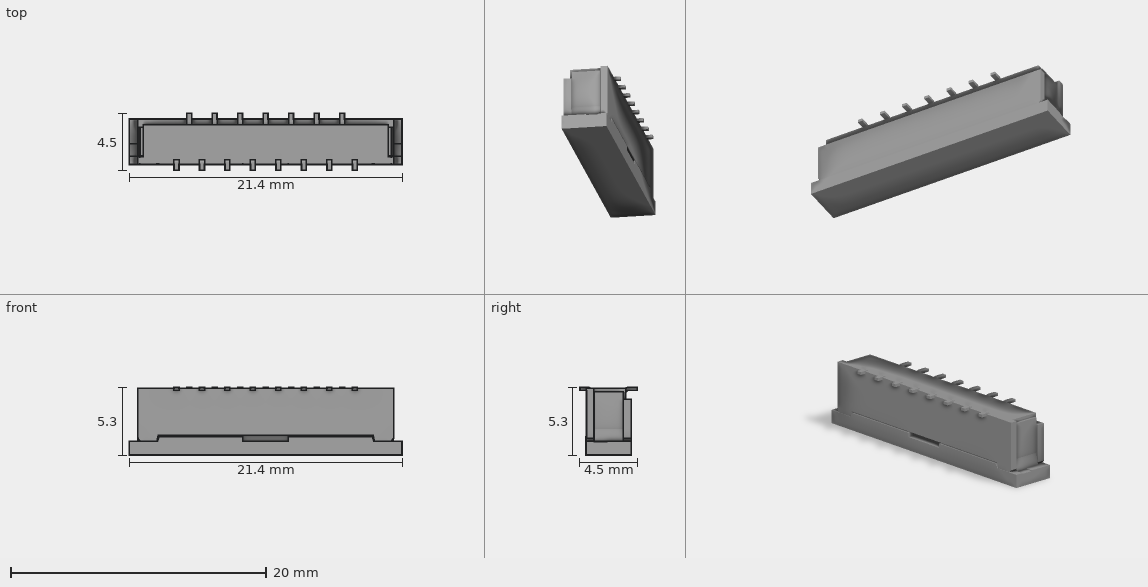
import cadquery as cq
import math

LENGTH = 21.4
WIDTH = 3.57
HEIGHT = 5.3

BASE_HEIGHT = 1.1
END_GROOVE_DEPTH = 0.06
END_GROOVE_FRONT = -1.13
END_GROOVE_BACK = -0.15

BODY_LENGTH = 20.1
BODY_TOP = 5.25
BODY_FRONT = -1.75
BODY_BACK = 1.78
SHOULDER_HEIGHT = 4.39
UPPER_BACK = 1.33
FOOT_CHAMFER_WIDTH = 0.2
FOOT_CHAMFER_HEIGHT = 0.21

POCKET_DEPTH = 0.45
POCKET_FRONT = -1.18
LATCH_FRONT = -1.11
LATCH_BACK = 1.13
LATCH_TOP = 4.96
LATCH_SETBACK = 0.21
LATCH_SLOPE_TOP = 2.03

RELIEF_LENGTH = 16.85
RELIEF_TOP = 1.55
RELIEF_DEPTH = 0.43
RELIEF_FLARE = 0.1
RAIL_TOP = 1.43
RAIL_CLEARANCE = 0.05
RAIL_GAP = 3.55

FRONT_PIN_COUNT = 8
BACK_PIN_COUNT = FRONT_PIN_COUNT - 1
FRONT_ROW_SPAN = 14.0
PIN_PITCH = FRONT_ROW_SPAN / (FRONT_PIN_COUNT - 1)
PIN_WIDTH = 0.4
PIN_THICKNESS = 0.24
PIN_REACH = 2.25
PIN_LEG_LENGTH = 0.43
FRONT_BEND_CENTRE = 1.63
FRONT_BEND_RADIUS = 0.1
BACK_BEND_CENTRE = 1.56
BACK_BEND_RADIUS = BACK_BEND_CENTRE - UPPER_BACK


def block(x_range, y_range, z_range):
    """Box spanning the given (low, high) ranges."""
    (x0, x1), (y0, y1), (z0, z1) = x_range, y_range, z_range
    return cq.Workplane("XY").box(x1 - x0, y1 - y0, z1 - z0, centered=False).translate((x0, y0, z0))


def both_ends(shape):
    """The shape together with its copy at the opposite X end."""
    return shape.union(shape.mirror("YZ"))


def front_prism(points, y_front, y_back):
    """Extrude an XZ outline from y_front to y_back."""
    outline = cq.Workplane("XZ", origin=(0, y_front, 0)).polyline(points).close()
    return outline.extrude(y_front - y_back)


def make_base():
    half = LENGTH / 2
    base = block((-half, half), (-WIDTH / 2, WIDTH / 2), (0, BASE_HEIGHT))
    groove = block(
        (-half, -BODY_LENGTH / 2),
        (END_GROOVE_FRONT, END_GROOVE_BACK),
        (BASE_HEIGHT - END_GROOVE_DEPTH, BASE_HEIGHT),
    )
    return base.cut(both_ends(groove))


def make_housing():
    half = BODY_LENGTH / 2
    foot_half = half - FOOT_CHAMFER_WIDTH
    chamfer_top = BASE_HEIGHT + FOOT_CHAMFER_HEIGHT
    end_outline = [
        (-foot_half, BASE_HEIGHT),
        (foot_half, BASE_HEIGHT),
        (half, chamfer_top),
        (half, BODY_TOP),
        (-half, BODY_TOP),
        (-half, chamfer_top),
    ]
    housing = front_prism(end_outline, BODY_FRONT, BODY_BACK)
    shoulder = block((-half, half), (UPPER_BACK, BODY_BACK), (SHOULDER_HEIGHT, BODY_TOP))
    return housing.cut(shoulder).cut(both_ends(make_end_pocket()))


def make_end_pocket():
    """Pocket at the -X end: wide above the shoulder, latch width below it."""
    x_range = (-BODY_LENGTH / 2, -BODY_LENGTH / 2 + POCKET_DEPTH)
    upper = block(x_range, (POCKET_FRONT, UPPER_BACK), (SHOULDER_HEIGHT, BODY_TOP))
    lower = block(x_range, (POCKET_FRONT, LATCH_BACK), (BASE_HEIGHT, SHOULDER_HEIGHT))
    return upper.union(lower)


def make_latch():
    """Block in the -X pocket, its lower part sloping out toward the base."""
    outer = -BODY_LENGTH / 2
    face = outer + LATCH_SETBACK
    inner = outer + POCKET_DEPTH
    foot = BASE_HEIGHT - END_GROOVE_DEPTH
    outline = [(inner, foot), (outer, foot), (face, LATCH_SLOPE_TOP), (face, LATCH_TOP), (inner, LATCH_TOP)]
    return front_prism(outline, LATCH_FRONT, LATCH_BACK)


def make_front_relief():
    half = RELIEF_LENGTH / 2
    flared = half + RELIEF_FLARE
    outline = [(-flared, BASE_HEIGHT), (flared, BASE_HEIGHT), (half, RELIEF_TOP), (-half, RELIEF_TOP)]
    return front_prism(outline, BODY_FRONT, BODY_FRONT + RELIEF_DEPTH)


def make_rail():
    """Rail on the -X half of the base, closing the relief up to a thin slit."""
    outer = -RELIEF_LENGTH / 2 + RAIL_CLEARANCE
    inner = -RAIL_GAP / 2
    outline = [
        (outer - RELIEF_FLARE, BASE_HEIGHT),
        (inner, BASE_HEIGHT),
        (inner, RAIL_TOP),
        (outer, RAIL_TOP),
    ]
    return front_prism(outline, -WIDTH / 2, BODY_FRONT + RELIEF_DEPTH)


def make_pin(bend_centre, inner_radius):
    """Terminal rising out of the housing and bending over toward +Y, centred on X = 0."""
    outer_radius = inner_radius + PIN_THICKNESS
    centre_z = HEIGHT - outer_radius
    leg_bottom = centre_z - PIN_LEG_LENGTH
    diagonal = math.sqrt(0.5)

    def on_bend(radius):
        return (bend_centre - radius * diagonal, centre_z + radius * diagonal)

    outline = (
        cq.Workplane("YZ", origin=(-PIN_WIDTH / 2, 0, 0))
        .moveTo(PIN_REACH, HEIGHT)
        .lineTo(bend_centre, HEIGHT)
        .threePointArc(on_bend(outer_radius), (bend_centre - outer_radius, centre_z))
        .lineTo(bend_centre - outer_radius, leg_bottom)
        .lineTo(bend_centre - inner_radius, leg_bottom)
        .lineTo(bend_centre - inner_radius, centre_z)
        .threePointArc(on_bend(inner_radius), (bend_centre, HEIGHT - PIN_THICKNESS))
        .lineTo(PIN_REACH, HEIGHT - PIN_THICKNESS)
        .close()
    )
    return outline.extrude(PIN_WIDTH)


def add_pin_row(part, pin, count):
    """Join a row of pins, evenly spaced about the middle."""
    for index in range(count):
        x = (index - (count - 1) / 2) * PIN_PITCH
        part = part.union(pin.translate((x, 0, 0)))
    return part


result = make_base().union(make_housing().cut(make_front_relief()))
result = result.union(both_ends(make_rail())).union(both_ends(make_latch()))
result = add_pin_row(result, make_pin(FRONT_BEND_CENTRE, FRONT_BEND_RADIUS).mirror("XZ"), FRONT_PIN_COUNT)
result = add_pin_row(result, make_pin(BACK_BEND_CENTRE, BACK_BEND_RADIUS), BACK_PIN_COUNT)